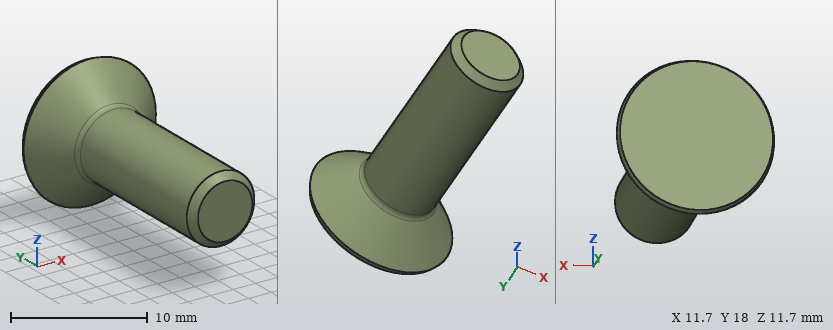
import cadquery as cq
import math

length = 18.0
shank_diameter = 6.0
head_diameter = 11.72
rim_height = 0.43
rim_inset = 0.18
neck_fillet = 0.67
tip_chamfer = 0.6
cone_angle = 45.0

shank_radius = shank_diameter / 2
head_radius = head_diameter / 2
rim_y = length - rim_height
cone_height = (head_radius - shank_radius) / math.tan(math.radians(cone_angle))
neck_y = rim_y - cone_height

fillet_start_y = neck_y - neck_fillet * math.tan(math.radians(cone_angle / 2))
fillet_center_x = shank_radius + neck_fillet


def neck_point(angle):
    """Point on the neck arc, turned by angle (degrees) from its shank end."""
    turn = math.radians(angle)
    return (
        fillet_center_x - neck_fillet * math.cos(turn),
        fillet_start_y + neck_fillet * math.sin(turn),
    )


profile = (
    cq.Workplane("XY")
    .moveTo(0, 0)
    .lineTo(shank_radius - tip_chamfer, 0)
    .lineTo(shank_radius, tip_chamfer)
    .lineTo(shank_radius, fillet_start_y)
    .threePointArc(neck_point(cone_angle / 2), neck_point(cone_angle))
    .lineTo(head_radius, rim_y)
    .lineTo(head_radius - rim_inset, length)
    .lineTo(0, length)
    .close()
)

result = profile.revolve(360, (0, 0, 0), (0, 1, 0))